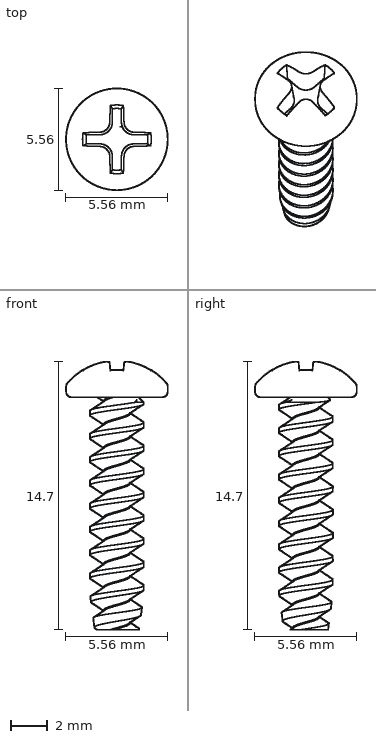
import cadquery as cq
import math


shank_length = 12.7
head_radius = 2.78
rim_height = 0.69
dome_height = 1.35
rim_fillet = 0.31
rim_top = shank_length + rim_height
apex = rim_top + dome_height

turns = 10
pitch = shank_length / turns
core_radius = 0.72
crest_radius = 1.48
crest_width = 0.25
root_width = 0.06
crest_start = 0.82 * pitch
tip_radius = 1.22
tip_taper_height = 1.98
neck_chamfer = 0.28
spare_turns = 2
ridge_overlap = 0.07
trim_clearance = 0.07
head_overlap = 0.15

recess_depth = 1.76
arm_width = 0.8
arm_wall_draft = 5.0
inner_corner_radius = 0.53
recess_top_radius = 1.96
recess_floor_radius = 1.68


def make_head():
    """Round disc with a spherical dome and rounded upper and lower rims."""
    sphere_radius = (head_radius**2 + dome_height**2) / (2 * dome_height)
    half_angle = math.asin(head_radius / sphere_radius) / 2
    arc_middle = (
        sphere_radius * math.sin(half_angle),
        apex - sphere_radius * (1 - math.cos(half_angle)),
    )
    head = (
        cq.Workplane("XZ")
        .moveTo(0, shank_length)
        .lineTo(head_radius, shank_length)
        .lineTo(head_radius, rim_top)
        .threePointArc(arc_middle, (0, apex))
        .close()
        .revolve(360, (0, 0, 0), (0, 1, 0))
    )
    return head.edges("%CIRCLE").fillet(rim_fillet)


def make_shank():
    """Core with a right-handed trapezoidal ridge, trimmed at the tip and under the head."""
    shank_top = shank_length + head_overlap
    helix_start = crest_start - spare_turns * pitch
    helix_height = (turns + spare_turns + 1) * pitch
    half_crest = crest_width / 2
    half_base = (pitch - root_width) / 2
    helix = cq.Wire.makeHelix(pitch, helix_height, core_radius)
    buried_radius = core_radius - ridge_overlap
    ridge = (
        cq.Workplane("XZ")
        .polyline([
            (buried_radius, -half_base),
            (core_radius, -half_base),
            (crest_radius, -half_crest),
            (crest_radius, half_crest),
            (core_radius, half_base),
            (buried_radius, half_base),
        ])
        .close()
        .sweep(cq.Workplane(helix), isFrenet=True)
        .translate((0, 0, helix_start))
    )
    trim_radius = crest_radius + trim_clearance
    tip_cone_height = tip_taper_height * (trim_radius - tip_radius) / (crest_radius - tip_radius)
    neck_cone_start = shank_length - neck_chamfer - trim_clearance
    envelope = (
        cq.Workplane("XZ")
        .polyline([
            (0, 0),
            (tip_radius, 0),
            (trim_radius, tip_cone_height),
            (trim_radius, neck_cone_start),
            (crest_radius - neck_chamfer - head_overlap, shank_top),
            (0, shank_top),
        ])
        .close()
        .revolve(360, (0, 0, 0), (0, 1, 0))
    )
    core = cq.Workplane("XY").circle(core_radius).extrude(shank_top)
    return core.union(ridge.intersect(envelope))


def make_recess():
    """Tapered cross with rounded inner corners, its four ends bounded by a cone about the screw axis."""
    arm_reach = recess_top_radius + arm_width
    inner_corners = cq.selectors.BoxSelector((-arm_width,) * 3, (arm_width,) * 3)
    outline = (
        cq.Sketch()
        .rect(2 * arm_reach, arm_width)
        .rect(arm_width, 2 * arm_reach)
        .clean()
        .reset()
        .vertices(inner_corners)
        .fillet(inner_corner_radius)
    )
    cross = (
        cq.Workplane("XY", origin=(0, 0, apex))
        .placeSketch(outline)
        .extrude(-recess_depth, taper=arm_wall_draft)
    )
    end_cone = cq.Workplane(
        cq.Solid.makeCone(
            recess_floor_radius,
            recess_top_radius,
            recess_depth,
            pnt=cq.Vector(0, 0, apex - recess_depth),
        )
    )
    return cross.intersect(end_cone)


result = make_head().union(make_shank()).cut(make_recess())